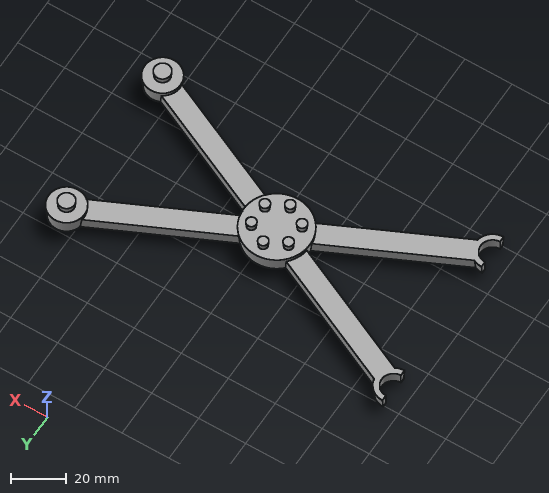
import cadquery as cq
import math

length = 147.5
width = 82.0
fork_face_x = -70.8
arm_width = 8.9
arm_height = 5.0
disc_height = 7.0
total_height = 9.7
pin_height = total_height - disc_height

draft = 5.0

hub_radius = 14.2
hub_pin_circle_radius = 9.1
hub_pin_radius = 2.0
hub_pin_count = 6

end_radius = 7.7
end_pin_radius = 3.4
end_x = length + fork_face_x - end_radius
end_y = 32.5

fork_radius = 7.5
fork_bore_radius = 5.0
fork_y = width / 2 - fork_radius


def tapered_disc(x, y, base_z, height, top_radius):
    """Round boss that is widest at its top face."""
    return (
        cq.Workplane("XY", origin=(x, y, base_z + height))
        .circle(top_radius)
        .extrude(-height, taper=draft)
    )


def arm(x, y):
    """Straight bar from the hub axis to the point (x, y)."""
    span = math.hypot(x, y)
    angle = math.degrees(math.atan2(y, x))
    bar = cq.Workplane("XY").box(span, arm_width, arm_height, centered=(False, True, False))
    return bar.rotate((0, 0, 0), (0, 0, 1), angle)


def pinned_arm(y):
    """Arm ending in a disc that carries one pin."""
    disc = tapered_disc(end_x, y, 0, disc_height, end_radius)
    pin = tapered_disc(end_x, y, disc_height, pin_height, end_pin_radius)
    return arm(end_x, y).union(disc).union(pin)


def forked_arm(y):
    """Arm ending in an open half ring, cut flat through the ring centre."""
    ring = tapered_disc(fork_face_x, y, 0, arm_height, fork_radius)
    bore = cq.Workplane("XY").center(fork_face_x, y).circle(fork_bore_radius).extrude(arm_height)
    beyond_face = cq.Workplane("XY").box(
        2 * fork_radius, 4 * fork_radius, arm_height, centered=(True, True, False)
    ).translate((fork_face_x - fork_radius, y, 0))
    return arm(fork_face_x, y).union(ring).cut(bore).cut(beyond_face)


result = tapered_disc(0, 0, 0, disc_height, hub_radius)
for index in range(hub_pin_count):
    pin_angle = math.pi / 2 + index * 2 * math.pi / hub_pin_count
    pin_x = hub_pin_circle_radius * math.cos(pin_angle)
    pin_y = hub_pin_circle_radius * math.sin(pin_angle)
    result = result.union(tapered_disc(pin_x, pin_y, disc_height, pin_height, hub_pin_radius))

for side in (1, -1):
    result = result.union(pinned_arm(side * end_y))
    result = result.union(forked_arm(side * fork_y))